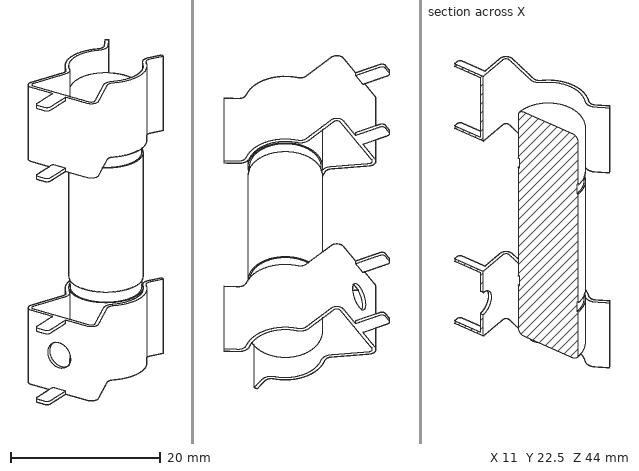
import cadquery as cq
import math

fuse_radius = 5.0
fuse_length = 38.0
fuse_end_round = 1.0
neck_radius = 4.8
body_length = 18.4
neck_length = 1.55

overall_height = 44.0
clip_height = 11.0
strip = 0.5
bend_inner_radius = 0.5
waist_inner_radius = 1.0
corner_center_x = 4.5
base_y = -11.25
waist_center_x = 4.5
mouth_center_x = 4.6
lip_angle = 30.0
lip_tip_y = 7.04

pin_width = 2.1
pin_end_y = -15.5
pin_corner_radius = 0.5
hole_diameter = 3.7
hole_height = clip_height / 2

grip_outer_radius = fuse_radius + strip
bend_center_distance = grip_outer_radius + waist_inner_radius
corner_center = (corner_center_x, base_y + bend_inner_radius + strip)
waist_center = (waist_center_x, -math.sqrt(bend_center_distance**2 - waist_center_x**2))
mouth_center = (mouth_center_x, math.sqrt(bend_center_distance**2 - mouth_center_x**2))

waist_angle = math.degrees(math.atan2(waist_center[1], waist_center[0]))
mouth_angle = math.degrees(math.atan2(mouth_center[1], mouth_center[0]))
leg_angle = math.degrees(
    math.asin((bend_inner_radius + strip + waist_inner_radius) / (waist_center[1] - corner_center[1]))
)


def polar(center, radius, angle):
    """Point at the given radius and angle (degrees) from a centre."""
    turn = math.radians(angle)
    return (center[0] + radius * math.cos(turn), center[1] + radius * math.sin(turn))


def lip_end(depth):
    """End of the flared lip on the strip face lying `depth` inside the outer face."""
    root = polar(mouth_center, waist_inner_radius + strip, 180 - lip_angle)
    lip_length = (lip_tip_y - root[1]) / math.cos(math.radians(lip_angle))
    face_root = polar(mouth_center, waist_inner_radius + depth, 180 - lip_angle)
    return polar(face_root, lip_length, 90 - lip_angle)


def strip_face(depth):
    """Arcs (start, middle, end) from base to lip of the face `depth` inside the outer face."""
    bends = [
        (corner_center, bend_inner_radius + strip - depth, -90, leg_angle),
        (waist_center, waist_inner_radius + depth, 180 + leg_angle, 180 + waist_angle),
        ((0, 0), grip_outer_radius - depth, waist_angle, mouth_angle),
        (mouth_center, waist_inner_radius + depth, 180 + mouth_angle, 180 - lip_angle),
    ]
    return [
        (polar(c, r, first), polar(c, r, (first + last) / 2), polar(c, r, last))
        for c, r, first, last in bends
    ]


def make_half_clip():
    """The +X half of a clip, standing on the XY plane."""
    corner, waist, grip, mouth = strip_face(0)
    outline = cq.Workplane("XY").moveTo(0, base_y)
    outline = outline.lineTo(*corner[0]).threePointArc(*corner[1:])
    outline = outline.lineTo(*waist[0]).threePointArc(*waist[1:])
    outline = outline.threePointArc(*grip[1:]).threePointArc(*mouth[1:])
    outline = outline.lineTo(*lip_end(0)).lineTo(*lip_end(strip))

    corner, waist, grip, mouth = strip_face(strip)
    outline = outline.lineTo(*mouth[2])
    for arc_start, arc_middle, _ in (mouth, grip, waist):
        outline = outline.threePointArc(arc_middle, arc_start)
    outline = outline.lineTo(*corner[2]).threePointArc(corner[1], corner[0])
    return outline.lineTo(0, base_y + strip).close().extrude(clip_height)


def make_pin(bottom):
    """A flat solder pin running out from the clip base."""
    pin_length = base_y + strip - pin_end_y
    return (
        cq.Workplane("XY", origin=(0, pin_end_y + pin_length / 2, bottom))
        .rect(pin_width, pin_length)
        .extrude(strip)
        .edges("|Z and <Y")
        .fillet(pin_corner_radius)
    )


def make_clip():
    """A whole clip with a pin at its bottom and top edges."""
    half = make_half_clip()
    clip = half.union(half.mirror("YZ"))
    for bottom in (0, clip_height - strip):
        clip = clip.union(make_pin(bottom))
    return clip


def cut_mounting_hole(clip):
    """Drill the base of a clip only, along Y."""
    drill = (
        cq.Workplane("XZ", origin=(0, base_y + strip, hole_height))
        .circle(hole_diameter / 2)
        .extrude(strip)
    )
    return clip.cut(drill)


def make_fuse():
    """The fuse with rounded ends and a neck at each end of its body."""
    middle = overall_height / 2
    fuse = (
        cq.Workplane("XY", origin=(0, 0, middle - fuse_length / 2))
        .circle(fuse_radius)
        .extrude(fuse_length)
        .faces("<Z or >Z")
        .edges()
        .fillet(fuse_end_round)
    )
    for bottom in (middle - body_length / 2 - neck_length, middle + body_length / 2):
        neck_groove = (
            cq.Workplane("XY", origin=(0, 0, bottom))
            .circle(grip_outer_radius)
            .circle(neck_radius)
            .extrude(neck_length)
        )
        fuse = fuse.cut(neck_groove)
    return fuse


lower_clip = cut_mounting_hole(make_clip())
upper_clip = make_clip().translate((0, 0, overall_height - clip_height))
result = make_fuse().union(lower_clip).union(upper_clip)